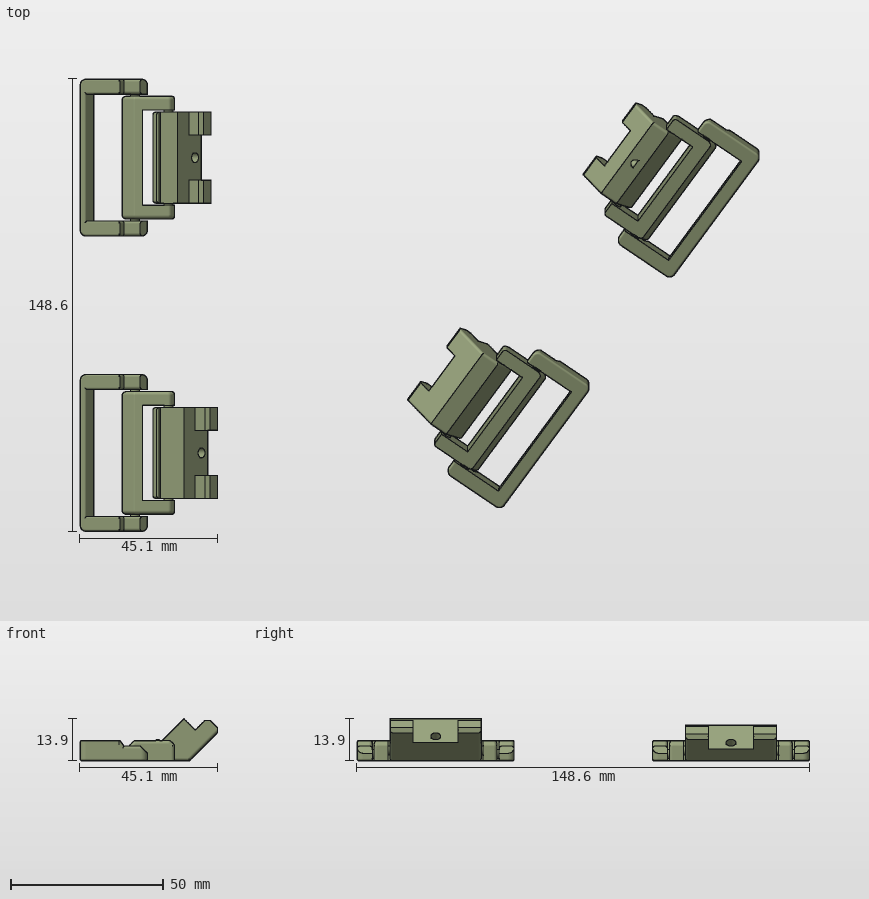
import cadquery as cq
import math

BAR_HEIGHT = 6.7
SIDE_GAP = 0.6
CLIP_WIDTH = 30.0
LINK_ARM = 4.6
FRAME_ARM = 5.0
ASSEMBLY_PITCH = 97.0
CLIP_EXTRA_LENGTHS = {-1: 3.0, 1: 0.0}

LINK_INNER_WIDTH = CLIP_WIDTH + 2 * SIDE_GAP
LINK_WIDTH = LINK_INNER_WIDTH + 2 * LINK_ARM
FRAME_INNER_WIDTH = LINK_WIDTH + 2 * SIDE_GAP
FRAME_WIDTH = FRAME_INNER_WIDTH + 2 * FRAME_ARM

PIN_DIAMETER = 3.0
SOCKET_DIAMETER = 3.2
PIN_ENGAGEMENT = 2.0
SOCKET_END_GAP = 0.3
FRAME_HINGE = (18.0, 2.3)
LINK_HINGE = (29.0, 3.4)

FRAME_LENGTH = 22.1
FRAME_CORNER_RADIUS = 2.0
FRAME_EDGE_RADIUS = 0.65
BAR_TOP_THICKNESS = 1.85
BAR_FOOT_THICKNESS = 4.5
BAR_FOOT_HEIGHT = 2.7
HIGH_ARM_END_X = 12.8
ARM_STEP_TOP_X = 13.1
ARM_STEP_FOOT_X = 14.4
ARM_LOW_HEIGHT = 4.9
ARM_LOW_EDGE_RADIUS = 1.0
ARM_END_CHAMFER = 2.4

LINK_NOSE_X = 13.5
LINK_NOSE_Z = 2.4
LINK_NOSE_RADIUS = 0.6
LINK_END_X = 31.0
LINK_BAR_BACK_X = 20.5
LINK_END_CHAMFER = 1.45
LINK_END_TOP_RADIUS = 1.2
LINK_END_CORNER_RADIUS = 1.0
LINK_EDGE_RADIUS = 1.25

SIN_45 = math.sqrt(0.5)
CLIP_NOSE_X = 23.9
CLIP_LIP_X = 25.1
CLIP_LIP_HEIGHT = 7.05
CLIP_LIP_WIDTH = 0.75
CLIP_GROOVE_X = 26.45
CLIP_UPPER_FACE = 20.2
CLIP_LOWER_FACE = 35.9
CLIP_SHORT_END = 43.7
CLIP_EDGE_RADIUS = 0.9
PRONG_THICKNESS = 5.83
PRONG_UPPER_FACE = CLIP_LOWER_FACE - PRONG_THICKNESS / SIN_45
PRONG_LENGTH = 5.725
PRONG_WIDTH = 7.6
PRONG_CORNER_CUT = 1.2
SCREW_HOLE_DIAMETER = 3.2
SCREW_HOLE_DEPTH = 8.0

OVERSIZE = 100.0
MARGIN = 0.1


def extrude_profile(points, width):
    """Extrude an XZ outline symmetrically about Y = 0."""
    return cq.Workplane("XZ").polyline(points).close().extrude(width / 2, both=True)


def hinge_cylinders(axis, diameter, start_y, length):
    """Two cylinders along Y, mirrored about Y = 0, running outward from start_y."""
    x, z = axis
    pin = cq.Workplane("XZ", origin=(x, start_y, z)).circle(diameter / 2).extrude(-length)
    return pin.union(pin.mirror("XZ"))


def side_edges(body, low, high):
    """Edges of the two outermost Y faces whose centres lie between two (X, Z) corners."""
    box = cq.selectors.BoxSelector((low[0], -OVERSIZE, low[1]), (high[0], OVERSIZE, high[1]))
    return body.faces("<Y or >Y").edges(box)


def make_low_arm():
    """One arm end centred on Y = 0, with rounded upper edges and a sloping step."""
    arm = extrude_profile([
        (HIGH_ARM_END_X, 0),
        (FRAME_LENGTH, 0),
        (FRAME_LENGTH, ARM_LOW_HEIGHT),
        (ARM_STEP_FOOT_X, ARM_LOW_HEIGHT),
        (ARM_STEP_TOP_X, BAR_HEIGHT),
        (HIGH_ARM_END_X, BAR_HEIGHT),
    ], FRAME_ARM)
    arm = side_edges(
        arm, (ARM_STEP_TOP_X, ARM_LOW_HEIGHT - MARGIN), (FRAME_LENGTH - MARGIN, BAR_HEIGHT - MARGIN)
    ).fillet(ARM_LOW_EDGE_RADIUS)
    end_cut = extrude_profile([
        (FRAME_LENGTH, ARM_LOW_HEIGHT - ARM_END_CHAMFER),
        (FRAME_LENGTH, ARM_LOW_HEIGHT),
        (FRAME_LENGTH - ARM_END_CHAMFER, ARM_LOW_HEIGHT),
    ], FRAME_ARM)
    return arm.cut(end_cut)


def frame_block():
    """Full-height rectangular block over the whole frame."""
    return cq.Workplane("XY").box(
        FRAME_LENGTH, FRAME_WIDTH, BAR_HEIGHT, centered=(False, True, False))


def make_frame():
    envelope = frame_block().edges("|Z").fillet(FRAME_CORNER_RADIUS)
    envelope = envelope.faces("<Z").edges().fillet(FRAME_EDGE_RADIUS)
    opening = extrude_profile([
        (BAR_FOOT_THICKNESS, 0),
        (FRAME_LENGTH, 0),
        (FRAME_LENGTH, BAR_HEIGHT),
        (BAR_TOP_THICKNESS, BAR_HEIGHT),
        (BAR_FOOT_THICKNESS, BAR_FOOT_HEIGHT),
    ], FRAME_INNER_WIDTH)
    arm_ends = frame_block().translate((HIGH_ARM_END_X, 0, 0))
    frame = envelope.cut(opening).cut(arm_ends)
    frame = frame.faces(">Z").edges("not >X").fillet(FRAME_EDGE_RADIUS)
    low_arm = make_low_arm()
    arm_y = (FRAME_INNER_WIDTH + FRAME_ARM) / 2
    for side in (-1, 1):
        frame = frame.union(low_arm.translate((0, side * arm_y, 0)).intersect(envelope))
    sockets = hinge_cylinders(
        FRAME_HINGE, SOCKET_DIAMETER, FRAME_INNER_WIDTH / 2, PIN_ENGAGEMENT + SOCKET_END_GAP)
    return frame.cut(sockets)


def make_link():
    slope_top_x = LINK_NOSE_X + BAR_HEIGHT - LINK_NOSE_Z
    end_top_x = LINK_END_X - LINK_END_CHAMFER
    link = extrude_profile([
        (LINK_NOSE_X + LINK_NOSE_Z, 0),
        (LINK_END_X, 0),
        (LINK_END_X, BAR_HEIGHT - LINK_END_CHAMFER),
        (end_top_x, BAR_HEIGHT),
        (slope_top_x, BAR_HEIGHT),
        (LINK_NOSE_X, LINK_NOSE_Z),
    ], LINK_WIDTH)
    link = link.faces(">Z").edges(">X").fillet(LINK_END_TOP_RADIUS)
    link = link.faces(">Z").edges("<X").fillet(LINK_NOSE_RADIUS)
    link = link.edges("<X").fillet(LINK_NOSE_RADIUS)
    link = link.faces(">X").edges("|Z").fillet(LINK_END_CORNER_RADIUS)
    link = link.faces(">Z").edges("<Y or >Y").fillet(LINK_EDGE_RADIUS)
    opening = cq.Workplane("XY").box(
        LINK_END_X, LINK_INNER_WIDTH, BAR_HEIGHT, centered=(False, True, False)
    ).translate((LINK_BAR_BACK_X, 0, 0))
    link = link.cut(opening)
    sockets = hinge_cylinders(
        LINK_HINGE, SOCKET_DIAMETER, LINK_INNER_WIDTH / 2, PIN_ENGAGEMENT + SOCKET_END_GAP)
    pins = hinge_cylinders(FRAME_HINGE, PIN_DIAMETER, LINK_WIDTH / 2, SIDE_GAP + PIN_ENGAGEMENT)
    return link.cut(sockets).union(pins)


def on_slope(difference, total):
    """Point with the given X minus Z and X plus Z."""
    return ((total + difference) / 2, (total - difference) / 2)


def make_plate(plate_end, nose_z):
    """Leaning plate of the clip, with a lip and a groove above its nose."""
    return extrude_profile([
        (CLIP_NOSE_X + nose_z, 0),
        (CLIP_LOWER_FACE, 0),
        on_slope(CLIP_LOWER_FACE, plate_end),
        on_slope(CLIP_UPPER_FACE, plate_end),
        (CLIP_GROOVE_X, CLIP_GROOVE_X - CLIP_UPPER_FACE),
        (CLIP_LIP_X + CLIP_LIP_WIDTH, CLIP_LIP_HEIGHT),
        (CLIP_LIP_X, CLIP_LIP_HEIGHT),
        (CLIP_NOSE_X, nose_z),
    ], CLIP_WIDTH)


def make_prongs(plate_end, prong_end):
    """Two prongs that continue the lower side of the plate, with their tips cut off square to X and Z."""
    top_x, top_z = on_slope(PRONG_UPPER_FACE, prong_end)
    tip_x, tip_z = on_slope(CLIP_LOWER_FACE, prong_end)
    cut = PRONG_CORNER_CUT * SIN_45
    outline = [
        on_slope(PRONG_UPPER_FACE, plate_end),
        (top_x - cut, top_z - cut),
        (top_x + cut, top_z - cut),
        (tip_x - cut, tip_z + cut),
        (tip_x - cut, tip_z - cut),
        on_slope(CLIP_LOWER_FACE, plate_end),
    ]
    gap_width = CLIP_WIDTH - 2 * PRONG_WIDTH
    return extrude_profile(outline, CLIP_WIDTH).cut(extrude_profile(outline, gap_width))


def make_screw_hole(plate_end):
    """Cylinder that enters the plate's end face at the middle of the prong thickness."""
    x, z = on_slope((PRONG_UPPER_FACE + CLIP_LOWER_FACE) / 2, plate_end)
    entry = cq.Plane(origin=(x, 0, z), xDir=(0, 1, 0), normal=(-1, 0, -1))
    return cq.Workplane(entry).circle(SCREW_HOLE_DIAMETER / 2).extrude(SCREW_HOLE_DEPTH)


def make_clip(extra_length):
    plate_end = CLIP_SHORT_END + extra_length / SIN_45
    prong_end = plate_end + PRONG_LENGTH / SIN_45
    nose_z = CLIP_LIP_HEIGHT - (CLIP_LIP_X - CLIP_NOSE_X)
    clip = make_plate(plate_end, nose_z).union(make_prongs(plate_end, prong_end))
    nose_edges = side_edges(clip, (CLIP_NOSE_X, nose_z), (CLIP_LIP_X, CLIP_LIP_HEIGHT))
    under_edges = side_edges(clip, (CLIP_LIP_X, -MARGIN), (prong_end, nose_z - MARGIN))
    clip = clip.newObject(nose_edges.vals() + under_edges.vals()).fillet(CLIP_EDGE_RADIUS)
    pins = hinge_cylinders(LINK_HINGE, PIN_DIAMETER, CLIP_WIDTH / 2, SIDE_GAP + PIN_ENGAGEMENT)
    return clip.cut(make_screw_hole(plate_end)).union(pins)


bodies = []
for side, extra_length in CLIP_EXTRA_LENGTHS.items():
    offset = (0, side * ASSEMBLY_PITCH / 2, 0)
    for body in (make_frame(), make_link(), make_clip(extra_length)):
        bodies.extend(body.translate(offset).solids().vals())

result = cq.Compound.makeCompound(bodies)